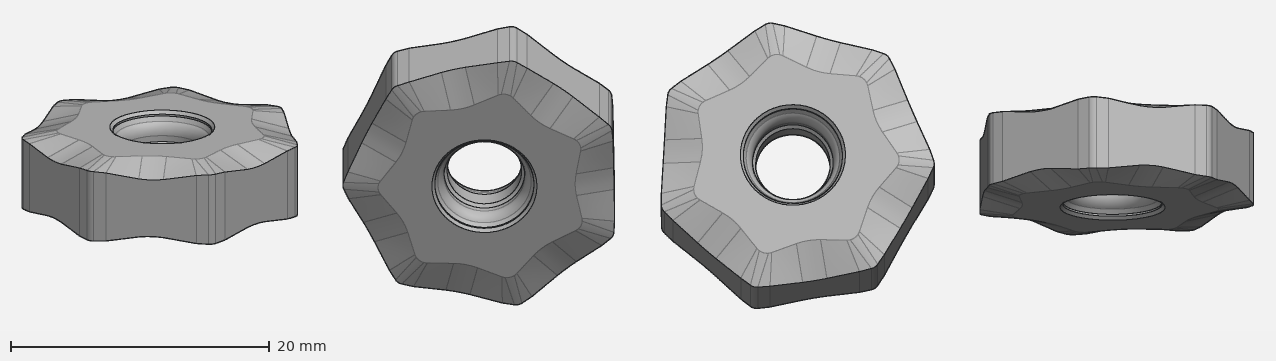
import cadquery as cq
import math


SIDES = 7
STEP = 360 / SIDES
HALF_STEP = STEP / 2
THICKNESS = 6.55
HALF_THICKNESS = THICKNESS / 2

INSCRIBED_RADIUS = 10.0
CORNER_REACH = 10.94
NOSE_RADIUS = 0.8
WIPER_ANGLE = 4.0

CORNER_DROP = 0.44
MID_SIDE_DROP = 0.96
VALLEY_HALF_WIDTH = 0.95
EDGE_SPANS = 4

LAND_REACH = 8.22
LAND_TIP_RADIUS = 1.0
LAND_FLANK_ANGLE = 10.9
LAND_VALLEY_RADIUS = 5.0

RIM = (4.06, 0.0)
GROOVE_TOP = (3.83, 0.26)
GROOVE_BOTTOM = (3.83, 0.41)
SEAT_TOP = (3.61, 0.77)
SEAT_BOTTOM = (3.12, 1.77)
NECK_TOP = (3.12, 2.26)
BORE_TOP = (2.88, 2.50)


def around(center, radius, angle):
    """Point on a circle; the angle runs from -Y towards +X, in degrees."""
    a = math.radians(angle)
    return (center[0] + radius * math.sin(a), center[1] - radius * math.cos(a))


def mirrored(point):
    """Mirror image of a point about the middle of side 0."""
    return (-point[0], point[1])


def next_side(point):
    """Image on side 1 of the mirrored point, across the +X corner of side 0."""
    a = math.radians(STEP)
    x, y = mirrored(point)
    return (x * math.cos(a) - y * math.sin(a), x * math.sin(a) + y * math.cos(a))


nose_center = around((0, 0), CORNER_REACH - NOSE_RADIUS, HALF_STEP)
wiper_end = around(nose_center, NOSE_RADIUS, WIPER_ANGLE)
wiper_rise = wiper_end[1] + INSCRIBED_RADIUS
wiper_start = (wiper_end[0] - wiper_rise / math.tan(math.radians(WIPER_ANGLE)), -INSCRIBED_RADIUS)
valley_end = (VALLEY_HALF_WIDTH, -INSCRIBED_RADIUS)

tip_center = around((0, 0), LAND_REACH - LAND_TIP_RADIUS, HALF_STEP)
tip_start = around(tip_center, LAND_TIP_RADIUS, -LAND_FLANK_ANGLE)
tip_split = around(tip_center, LAND_TIP_RADIUS, WIPER_ANGLE)
tip_split_middle = around(tip_center, LAND_TIP_RADIUS, (WIPER_ANGLE - LAND_FLANK_ANGLE) / 2)
flank_angle = math.radians(LAND_FLANK_ANGLE)
land_valley_x = LAND_VALLEY_RADIUS * math.sin(flank_angle)
land_valley_end = (
    land_valley_x,
    tip_start[1] + (tip_start[0] - land_valley_x) * math.tan(flank_angle),
)
land_valley_middle = (0, land_valley_end[1] + LAND_VALLEY_RADIUS * (1 - math.cos(flank_angle)))


def edge_height(x):
    """Height of the cutting edge at distance x from mid side: a cosine wave."""
    wave = (1 + math.cos(math.pi * x / wiper_end[0])) / 2
    return HALF_THICKNESS - CORNER_DROP - (MID_SIDE_DROP - CORNER_DROP) * wave


def land_point(point):
    return cq.Vector(*point, HALF_THICKNESS)


def cutting_point(point):
    return cq.Vector(*point, edge_height(point[0]))


def land_arc(start, middle, end):
    return cq.Edge.makeThreePointArc(land_point(start), land_point(middle), land_point(end))


def land_line(start, end):
    return cq.Edge.makeLine(land_point(start), land_point(end))


def wavy_edge(start, end):
    """Cutting edge above the straight outline segment from start to end."""
    points = []
    for i in range(EDGE_SPANS + 1):
        t = i / EDGE_SPANS
        x = start[0] + t * (end[0] - start[0])
        y = start[1] + t * (end[1] - start[1])
        points.append(cutting_point((x, y)))
    return cq.Edge.makeSpline(points)


def flipped(shape):
    """Mirror image of a shape about mid thickness."""
    return shape.mirror("XY")


def edge_pairs():
    """Land edge and cutting edge of each chamfer strip, from one corner to the next."""
    wiper_left = (
        land_arc(mirrored(tip_split), mirrored(tip_split_middle), mirrored(tip_start)),
        wavy_edge(mirrored(wiper_end), mirrored(wiper_start)),
    )
    flank_left = (
        land_line(mirrored(tip_start), mirrored(land_valley_end)),
        wavy_edge(mirrored(wiper_start), mirrored(valley_end)),
    )
    valley = (
        land_arc(mirrored(land_valley_end), land_valley_middle, land_valley_end),
        wavy_edge(mirrored(valley_end), valley_end),
    )
    flank_right = (land_line(land_valley_end, tip_start), wavy_edge(valley_end, wiper_start))
    wiper_right = (
        land_arc(tip_split, tip_split_middle, tip_start),
        wavy_edge(wiper_end, wiper_start),
    )
    nose_height = edge_height(wiper_end[0])
    nose = (
        land_arc(tip_split, around((0, 0), LAND_REACH, HALF_STEP), next_side(tip_split)),
        cq.Edge.makeThreePointArc(
            cq.Vector(*wiper_end, nose_height),
            cq.Vector(*around((0, 0), CORNER_REACH, HALF_STEP), nose_height),
            cq.Vector(*next_side(wiper_end), nose_height),
        ),
    )
    return wiper_left, flank_left, valley, flank_right, wiper_right, nose


def flat_wall(edges):
    """Flat upright wall between the given cutting edges and their mirror images."""
    uprights = []
    for point in (edges[0].startPoint(), edges[-1].endPoint()):
        uprights.append(cq.Edge.makeLine(point, cq.Vector(point.x, point.y, -point.z)))
    outline = edges + uprights + [flipped(edge) for edge in edges]
    return cq.Face.makeFromWires(cq.Wire.combine(outline)[0])


def side_faces(pairs):
    """Chamfer strips on both faces of the insert and the walls of side 0."""
    strips = [cq.Face.makeRuledSurface(land, cutting) for land, cutting in pairs]
    wiper_left, flank_left, valley, flank_right, wiper_right, nose = [cutting for _, cutting in pairs]
    walls = [
        flat_wall([wiper_left]),
        flat_wall([flank_left, valley, flank_right]),
        flat_wall([wiper_right]),
        cq.Face.makeRuledSurface(nose, flipped(nose)),
    ]
    return strips + [flipped(strip) for strip in strips] + walls


def turned(shape, side):
    """Shape of side 0 turned about the insert's axis to the given side."""
    return shape.rotate(cq.Vector(0, 0, 0), cq.Vector(0, 0, 1), side * STEP)


def insert_body():
    pairs = edge_pairs()
    faces = []
    land_edges = []
    for side in range(SIDES):
        faces += [turned(face, side) for face in side_faces(pairs)]
        land_edges += [turned(land, side) for land, _ in pairs]
    land = cq.Face.makeFromWires(cq.Wire.combine(land_edges)[0])
    faces += [land, flipped(land)]
    return cq.Workplane(cq.Solid.makeSolid(cq.Shell.makeShell(faces)).fix())


def clamping_hole():
    """Revolved cutter for the stepped hole, symmetric about mid thickness."""
    def at(step):
        return (step[0], HALF_THICKNESS - step[1])

    seat_width = SEAT_TOP[0] - SEAT_BOTTOM[0]
    seat_height = SEAT_BOTTOM[1] - SEAT_TOP[1]
    seat_radius = (seat_width**2 + seat_height**2) / (2 * seat_width)
    half_sweep = math.asin(seat_height / seat_radius) / 2
    seat_middle = (
        SEAT_BOTTOM[0] + seat_radius * (1 - math.cos(half_sweep)),
        SEAT_BOTTOM[1] - seat_radius * math.sin(half_sweep),
    )
    upper_half = (
        cq.Workplane("XZ")
        .lineTo(BORE_TOP[0], 0)
        .lineTo(*at(BORE_TOP))
        .lineTo(*at(NECK_TOP))
        .lineTo(*at(SEAT_BOTTOM))
        .threePointArc(at(seat_middle), at(SEAT_TOP))
        .lineTo(*at(GROOVE_BOTTOM))
        .lineTo(*at(GROOVE_TOP))
        .lineTo(*at(RIM))
        .lineTo(0, HALF_THICKNESS)
        .close()
        .revolve(360, (0, 0), (0, 1))
    )
    return upper_half.union(upper_half.mirror("XY"))


result = insert_body().cut(clamping_hole())